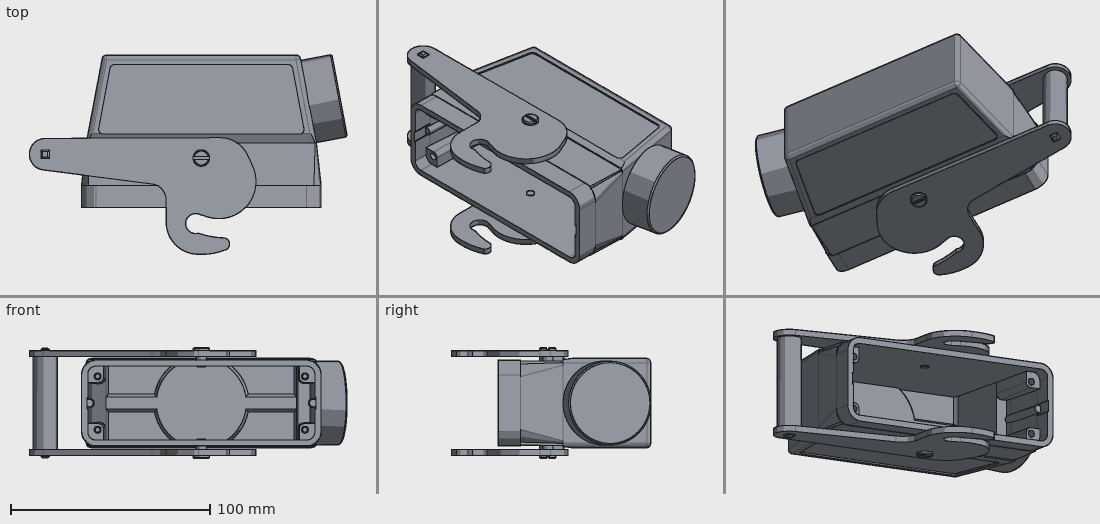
import cadquery as cq
import math


BASE_HALF_X, BASE_HALF_Z = 60.1, 21.5
BASE_TOP_Y = 11.2
BASE_CORNER_R = 7.3

WAIST_TOP_Y = 32.5
WAIST_TOP_HALF_X = 57.7
WAIST_HALF_Z = 20.5
WAIST_TOP_CORNER_R = 1.6
PAD_HALF_Z = 21.2
PAD_BOTTOM_HALF_X, PAD_TOP_HALF_X = 56.5, 57.0

HOOD_TOP_Y = 76.5
HOOD_TOP_HALF_X = 49.4
HOOD_HALF_Z = 22.5
HOOD_EDGE_R = 2.4
SLOPE_TOP_Y = 37.3
SLOPE_BOTTOM_HALF_Z = 21.8

PANEL_BOTTOM_Y, PANEL_TOP_Y = 36.8, 71.7
PANEL_BOTTOM_HALF_X, PANEL_TOP_HALF_X = 52.0, 45.5
PANEL_DEPTH = 0.8
PANEL_CORNER_R = 2.4

END_TILT = math.degrees(math.atan((WAIST_TOP_HALF_X - HOOD_TOP_HALF_X) / (HOOD_TOP_Y - WAIST_TOP_Y)))
BOSS_R = 21.0
BOSS_X, BOSS_Y = 53.9, 53.2
BOSS_LENGTH = 15.8
BOSS_ROOT = 1.6
BOSS_CHAMFER = 0.8

CAVITY_HALF_X, CAVITY_HALF_Z = 56.9, 18.5
CAVITY_CORNER_R = 4.0
CAVITY_STRAIGHT_Y = 10.4
CAVITY_WAIST_HALF_X = 55.0
CAVITY_FLOOR_Y = 74.1
CAVITY_FLOOR_HALF_X = 46.5
RELIEF_HEIGHT = 2.4
RELIEF_TOP_Y = CAVITY_FLOOR_Y - RELIEF_HEIGHT
RELIEF_TOP_HALF_X = 47.7
LEDGE_HALF_X = 48.5
LEDGE_Y = 35.9

NOTCH_WIDTH, NOTCH_DEPTH = 5.7, 0.5

POST_Y = 7.7
POST_X, POST_Z = 49.1, 10.4
POST_CORNER_R = 2.4
POST_DRAFT = 1.0
POST_HOLE_X, POST_HOLE_Z = 52.0, 13.4
POST_HOLE_R = 1.8
POST_HOLE_DEPTH = 12.8
POST_HOLE_DRAFT = 2.5

GUIDE_R = 1.9
GUIDE_X = 56.1
GUIDE_END_Y = 41.5

RELIEF_DRAFT = 30.0
RELIEF_DISC_R = 23.9
RELIEF_BAR_HALF_Z = 4.5

PIVOT_Y = 24.9
SHOULDER_R = 2.63
STUD_R = 2.0
STUD_END_Z = 18.0
HEAD_R = 4.1
HEAD_CHAMFER = 0.6
HEAD_TOP_Z = 27.9
SLOT_WIDTH, SLOT_DEPTH = 1.5, 1.0

PLATE_INNER_Z, PLATE_OUTER_Z = 23.3, 26.3
BAR_X, BAR_Y = -78.3, 26.8
BAR_R = 6.14
EYE_R = 8.0
RIVET_SIDE = 4.1
RIVET_TOP_Z = 27.5
RIVET_CHAMFER = 0.8
SHOULDER_ARC_X, SHOULDER_ARC_Y, SHOULDER_ARC_R = 9.5, 20.1, 15.0
LOBE_X, LOBE_Y, LOBE_R = 8.8, 13.0, 18.6
MOUTH_X, MOUTH_Y, MOUTH_R = -2.9, -8.0, 5.0
MOUTH_END_ANGLE = -75.0
HOOK_X, HOOK_Y, HOOK_R = -1.5, -7.2, 16.3
ARM_TAPER = 7.3
ARM_CORNER_R = 8.0
TONGUE_MIDDLE = (4.5, -14.3)
TONGUE_TOP = (11.8, -15.1)
TONGUE_TIP = (14.2, -18.0)
TONGUE_BOTTOM = (12.9, -20.9)
TONGUE_BELLY = (6.9, -22.8)


def trapezoid(bottom_y, bottom_half_x, top_y, top_half_x, half_z):
    """Prism along Z whose outline narrows from bottom_y to top_y."""
    return (
        cq.Workplane("XY")
        .polyline([(-bottom_half_x, bottom_y), (bottom_half_x, bottom_y), (top_half_x, top_y), (-top_half_x, top_y)])
        .close()
        .extrude(half_z, both=True)
    )


def plane_at(y):
    """Sketch plane at height y, facing +Y, with its own axes along Z and X."""
    return cq.Plane(origin=(0, y, 0), xDir=(0, 0, 1), normal=(0, 1, 0))


def rounded_section(half_x, half_z, radius):
    return cq.Sketch().rect(2 * half_z, 2 * half_x).vertices().fillet(radius)


def waist():
    core = (
        cq.Workplane(plane_at(BASE_TOP_Y))
        .placeSketch(
            rounded_section(BASE_HALF_X, WAIST_HALF_Z, BASE_CORNER_R),
            rounded_section(WAIST_TOP_HALF_X, WAIST_HALF_Z, WAIST_TOP_CORNER_R)
            .moved(cq.Location(cq.Vector(0, 0, WAIST_TOP_Y - BASE_TOP_Y))),
        )
        .loft()
    )
    pad = trapezoid(BASE_TOP_Y, PAD_BOTTOM_HALF_X, WAIST_TOP_Y, PAD_TOP_HALF_X, PAD_HALF_Z)
    return core.union(pad)


def hood():
    body = trapezoid(WAIST_TOP_Y, WAIST_TOP_HALF_X, HOOD_TOP_Y, HOOD_TOP_HALF_X, HOOD_HALF_Z)
    body = body.faces(">Y or >X or <X").edges("not <Y").fillet(HOOD_EDGE_R)
    panel = (
        trapezoid(PANEL_BOTTOM_Y, PANEL_BOTTOM_HALF_X, PANEL_TOP_Y, PANEL_TOP_HALF_X, PANEL_DEPTH)
        .edges("|Z")
        .fillet(PANEL_CORNER_R)
    )
    slope = (
        cq.Workplane("YZ")
        .polyline([
            (WAIST_TOP_Y, SLOPE_BOTTOM_HALF_Z),
            (SLOPE_TOP_Y, HOOD_HALF_Z),
            (WAIST_TOP_Y, HOOD_HALF_Z),
        ])
        .close()
        .extrude(BASE_HALF_X, both=True)
    )
    for side in (1, -1):
        body = body.cut(panel.translate((0, 0, side * HOOD_HALF_Z)))
    return body.cut(slope).cut(slope.mirror("XY"))


def boss():
    tilt = math.radians(END_TILT)
    axis = cq.Vector(math.cos(tilt), math.sin(tilt), 0)
    root = cq.Vector(BOSS_X, BOSS_Y, 0) - axis * BOSS_ROOT
    return (
        cq.Workplane(cq.Plane(origin=root, xDir=(0, 0, 1), normal=axis))
        .circle(BOSS_R)
        .extrude(BOSS_ROOT + BOSS_LENGTH)
        .faces(">X")
        .edges()
        .chamfer(BOSS_CHAMFER)
    )


def cavity():
    ledge_outer_x = CAVITY_WAIST_HALF_X - (LEDGE_Y - WAIST_TOP_Y) * math.tan(math.radians(END_TILT))
    outline = (
        cq.Workplane("XY")
        .polyline([
            (-CAVITY_HALF_X, 0),
            (CAVITY_HALF_X, 0),
            (CAVITY_HALF_X, CAVITY_STRAIGHT_Y),
            (CAVITY_WAIST_HALF_X, WAIST_TOP_Y),
            (ledge_outer_x, LEDGE_Y),
            (LEDGE_HALF_X, LEDGE_Y),
            (RELIEF_TOP_HALF_X, RELIEF_TOP_Y),
            (CAVITY_FLOOR_HALF_X, CAVITY_FLOOR_Y),
            (-CAVITY_FLOOR_HALF_X, CAVITY_FLOOR_Y),
            (-RELIEF_TOP_HALF_X, RELIEF_TOP_Y),
            (-CAVITY_WAIST_HALF_X, WAIST_TOP_Y),
            (-CAVITY_HALF_X, CAVITY_STRAIGHT_Y),
        ])
        .close()
        .extrude(CAVITY_HALF_Z, both=True)
    )
    corners = cq.Workplane(plane_at(0)).placeSketch(
        rounded_section(CAVITY_HALF_X, CAVITY_HALF_Z, CAVITY_CORNER_R)
    ).extrude(CAVITY_FLOOR_Y)
    notches = cq.Workplane("XY").box(
        2 * (CAVITY_HALF_X + NOTCH_DEPTH), CAVITY_STRAIGHT_Y, NOTCH_WIDTH, centered=(True, False, True)
    )
    return outline.intersect(corners).union(notches)


def floor_relief():
    sketch_plane = cq.Plane(origin=(0, CAVITY_FLOOR_Y, 0), xDir=(1, 0, 0), normal=(0, -1, 0))
    disc = cq.Workplane(sketch_plane).circle(RELIEF_DISC_R).extrude(RELIEF_HEIGHT, taper=RELIEF_DRAFT)
    slant = RELIEF_HEIGHT * math.tan(math.radians(RELIEF_DRAFT))
    bar = (
        cq.Workplane("YZ")
        .polyline([
            (CAVITY_FLOOR_Y, -RELIEF_BAR_HALF_Z),
            (CAVITY_FLOOR_Y, RELIEF_BAR_HALF_Z),
            (RELIEF_TOP_Y, RELIEF_BAR_HALF_Z - slant),
            (RELIEF_TOP_Y, slant - RELIEF_BAR_HALF_Z),
        ])
        .close()
        .extrude(LEDGE_HALF_X, both=True)
    )
    return disc.union(bar)


def screw_post(side_x, side_z):
    """Drafted post; its outer corners run on into the walls, so only the inner one shows."""
    size_x = CAVITY_HALF_X + POST_CORNER_R - POST_X
    size_z = CAVITY_HALF_Z + POST_CORNER_R - POST_Z
    return (
        cq.Workplane(plane_at(POST_Y))
        .center(side_z * (POST_Z + size_z / 2), side_x * (POST_X + size_x / 2))
        .placeSketch(rounded_section(size_x / 2, size_z / 2, POST_CORNER_R))
        .extrude(CAVITY_FLOOR_Y - POST_Y, taper=-POST_DRAFT)
    )


def build_housing():
    base = cq.Workplane(plane_at(0)).placeSketch(
        rounded_section(BASE_HALF_X, BASE_HALF_Z, BASE_CORNER_R)
    ).extrude(BASE_TOP_Y)
    shell = base.union(waist()).union(hood()).union(boss())
    inside = cavity().cut(floor_relief())
    for side_x in (1, -1):
        guide = (
            cq.Workplane(plane_at(POST_Y))
            .center(0, side_x * GUIDE_X)
            .circle(GUIDE_R)
            .extrude(GUIDE_END_Y - POST_Y, taper=-POST_DRAFT)
        )
        inside = inside.cut(guide)
        for side_z in (1, -1):
            hole = (
                cq.Workplane(plane_at(POST_Y))
                .center(side_z * POST_HOLE_Z, side_x * POST_HOLE_X)
                .circle(POST_HOLE_R)
                .extrude(POST_HOLE_DEPTH, taper=POST_HOLE_DRAFT)
            )
            inside = inside.cut(screw_post(side_x, side_z)).union(hole)
    stud_holes = cq.Workplane("XY").center(0, PIVOT_Y).circle(STUD_R).extrude(HOOD_HALF_Z, both=True)
    return shell.cut(inside).cut(stud_holes)


def on_circle(x, y, radius, degrees):
    angle = math.radians(degrees)
    return (x + radius * math.cos(angle), y + radius * math.sin(angle))


def lever_outline():
    dx, dy = LOBE_X - SHOULDER_ARC_X, LOBE_Y - SHOULDER_ARC_Y
    outer_normal = math.degrees(
        math.atan2(dy, dx) + math.acos((SHOULDER_ARC_R - LOBE_R) / math.hypot(dx, dy))
    )
    dx, dy = MOUTH_X - LOBE_X, MOUTH_Y - LOBE_Y
    inner_normal = math.degrees(math.atan2(dy, dx) + math.acos((LOBE_R + MOUTH_R) / math.hypot(dx, dy)))
    arm_normal = -90 - ARM_TAPER
    eye_bottom = on_circle(BAR_X, BAR_Y, EYE_R, arm_normal)
    corner_x = HOOK_X - HOOK_R - ARM_CORNER_R
    corner_y = (
        eye_bottom[1]
        - (corner_x - eye_bottom[0]) * math.tan(math.radians(ARM_TAPER))
        - ARM_CORNER_R / math.cos(math.radians(ARM_TAPER))
    )

    def shoulder(a):
        return on_circle(SHOULDER_ARC_X, SHOULDER_ARC_Y, SHOULDER_ARC_R, a)

    def lobe(a):
        return on_circle(LOBE_X, LOBE_Y, LOBE_R, a)

    def mouth(a):
        return on_circle(MOUTH_X, MOUTH_Y, MOUTH_R, a)

    def hook(a):
        return on_circle(HOOK_X, HOOK_Y, HOOK_R, a)

    def corner(a):
        return on_circle(corner_x, corner_y, ARM_CORNER_R, a)

    return (
        cq.Workplane("XY")
        .moveTo(BAR_X, BAR_Y + EYE_R)
        .lineTo(*shoulder(90))
        .threePointArc(shoulder((90 + outer_normal) / 2), shoulder(outer_normal))
        .lineTo(*lobe(outer_normal))
        .threePointArc(lobe((outer_normal + inner_normal) / 2), lobe(inner_normal))
        .lineTo(*mouth(inner_normal + 180))
        .threePointArc(mouth(180), mouth(MOUTH_END_ANGLE))
        .threePointArc(TONGUE_MIDDLE, TONGUE_TOP)
        .threePointArc(TONGUE_TIP, TONGUE_BOTTOM)
        .threePointArc(TONGUE_BELLY, hook(-90))
        .threePointArc(hook(-135), hook(180))
        .lineTo(*corner(0))
        .threePointArc(corner(45), corner(90 - ARM_TAPER))
        .lineTo(*eye_bottom)
        .threePointArc((BAR_X - EYE_R, BAR_Y), (BAR_X, BAR_Y + EYE_R))
        .close()
    )


def build_lever():
    plate = lever_outline().extrude(PLATE_OUTER_Z - PLATE_INNER_Z).translate((0, 0, PLATE_INNER_Z))
    plate = plate.cut(cq.Workplane("XY").center(0, PIVOT_Y).circle(SHOULDER_R).extrude(PLATE_OUTER_Z))
    rivet = (
        cq.Workplane("XY", origin=(BAR_X, BAR_Y, PLATE_INNER_Z))
        .rect(RIVET_SIDE, RIVET_SIDE)
        .extrude(RIVET_TOP_Z - PLATE_INNER_Z)
        .faces(">Z")
        .chamfer(RIVET_CHAMFER)
    )
    side = plate.union(rivet)
    bar = cq.Workplane("XY").center(BAR_X, BAR_Y).circle(BAR_R).extrude(PLATE_INNER_Z, both=True)
    return bar.union(side).union(side.mirror("XY"))


def build_screw():
    """Slotted pivot screw on the +Z side."""
    start = cq.Workplane("XY", origin=(0, PIVOT_Y, STUD_END_Z))
    stud = start.circle(STUD_R).extrude(PAD_HALF_Z - STUD_END_Z)
    shoulder = (
        cq.Workplane("XY", origin=(0, PIVOT_Y, PAD_HALF_Z)).circle(SHOULDER_R).extrude(PLATE_OUTER_Z - PAD_HALF_Z)
    )
    head = (
        cq.Workplane("XY", origin=(0, PIVOT_Y, PLATE_OUTER_Z))
        .circle(HEAD_R)
        .extrude(HEAD_TOP_Z - PLATE_OUTER_Z)
        .faces(">Z")
        .edges()
        .chamfer(HEAD_CHAMFER)
    )
    slot = cq.Workplane("XY", origin=(0, PIVOT_Y, HEAD_TOP_Z)).box(2 * HEAD_R, SLOT_WIDTH, 2 * SLOT_DEPTH)
    return stud.union(shoulder).union(head).cut(slot)


housing = build_housing()
lever = build_lever()
upper_screw = build_screw()
screws = [upper_screw, upper_screw.mirror("XY")]

result = cq.Compound.makeCompound([housing.val(), lever.val(), *[screw.val() for screw in screws]])